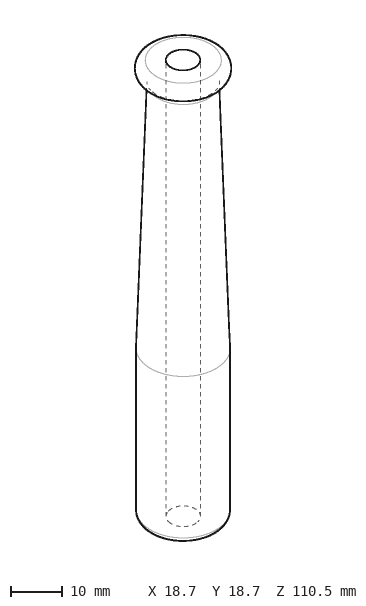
import cadquery as cq
import math

length = 110.5
bead_diameter = 18.7
grip_diameter = 18.2
neck_diameter = 14.0
bore_diameter = 6.6

grip_top = 40.8
neck_top = 105.1

bead_section_radius = 2.0
base_fillet = 1.7

grip_radius = grip_diameter / 2
neck_radius = neck_diameter / 2

bead_center_r = bead_diameter / 2 - bead_section_radius
bead_center_z = length - bead_section_radius

rise = bead_center_z - neck_top
offset = bead_center_r - neck_radius
cove_radius = (rise**2 + offset**2 - bead_section_radius**2) / (2 * (bead_section_radius + offset))
cove_center_r = neck_radius + cove_radius

tangent_angle = math.atan2(rise, bead_center_r - cove_center_r)


def cove_point(angle):
    """Point (radius, height) on the cove arc at an angle from the outward direction."""
    return (
        cove_center_r + cove_radius * math.cos(angle),
        neck_top + cove_radius * math.sin(angle),
    )


cove_end = cove_point(tangent_angle)
cove_middle = cove_point((tangent_angle + math.pi) / 2)

handle = (
    cq.Workplane("XZ")
    .lineTo(grip_radius, 0)
    .lineTo(grip_radius, grip_top)
    .lineTo(neck_radius, neck_top)
    .threePointArc(cove_middle, cove_end)
    .threePointArc((bead_diameter / 2, bead_center_z), (bead_center_r, length))
    .lineTo(0, length)
    .close()
    .revolve(360, (0, 0, 0), (0, 1, 0))
)

handle = handle.faces("<Z").edges().fillet(base_fillet)

bore = cq.Workplane("XY").circle(bore_diameter / 2).extrude(length)
result = handle.cut(bore)